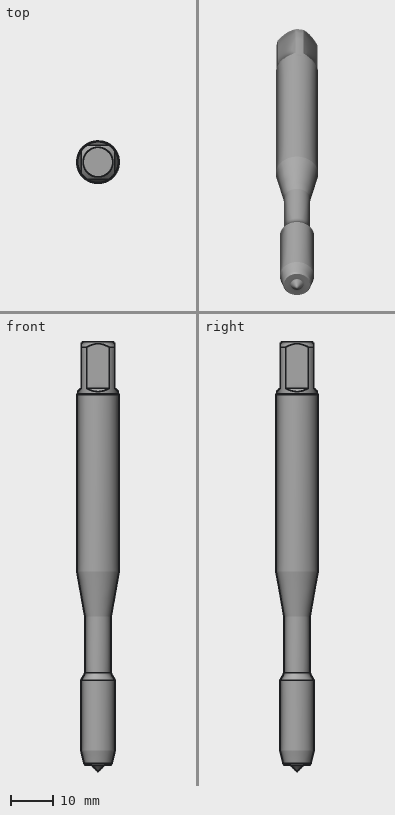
import cadquery as cq

overall_length = 100.0

shank_diameter = 10.0
shank_bottom = 45.7
shank_top = 87.5
neck_diameter = 6.23
taper_bottom = 35.1

drive_diameter = 9.6
drive_across_flats = 8.0
drive_length = 11.0
drive_tip_diameter = 7.0
drive_tip_chamfer = (drive_diameter - drive_tip_diameter) / 2
shank_chamfer = (shank_diameter - drive_diameter) / 2

thread_diameter = 8.12
thread_top = 20.0
core_diameter = 6.65
lead_bottom = 0.43
lead_top = 3.45
front_face_diameter = 6.1
shoulder_top = 21.25
neck_bottom = 21.85

point_height = 1.55
point_diameter = 2 * point_height


def turned(outline):
    """Revolve a closed outline of (radius, height) points about the Z axis."""
    return cq.Workplane("XZ").polyline(outline).close().revolve(360, (0, 0, 0), (0, 1, 0))


def flat_cutter(angle):
    """Prism outside one drive flat; its floor slopes down and outward at 45 degrees."""
    flat = drive_across_flats / 2
    reach = shank_diameter / 2
    floor = overall_length - drive_length
    outline = [
        (flat, floor),
        (reach, floor - (reach - flat)),
        (reach, overall_length),
        (flat, overall_length),
    ]
    prism = cq.Workplane("XZ").polyline(outline).close().extrude(reach, both=True)
    return prism.rotate((0, 0, 0), (0, 0, 1), angle)


def make_shank():
    """Neck, taper, cylindrical shank and square drive, turned as one piece."""
    shank = turned([
        (0, neck_bottom),
        (neck_diameter / 2, neck_bottom),
        (neck_diameter / 2, taper_bottom),
        (shank_diameter / 2, shank_bottom),
        (shank_diameter / 2, shank_top),
        (drive_diameter / 2, shank_top + shank_chamfer),
        (drive_diameter / 2, overall_length - drive_tip_chamfer),
        (drive_tip_diameter / 2, overall_length),
        (0, overall_length),
    ])
    flat_count = 4
    for flat_index in range(flat_count):
        shank = shank.cut(flat_cutter(flat_index * 360 / flat_count))
    return shank


def make_thread_section():
    """Thread cylinder with a stepped cone up to the neck, a tapered lead and a centre point."""
    return turned([
        (0, -point_height),
        (point_diameter / 2, 0),
        (front_face_diameter / 2, 0),
        (core_diameter / 2, lead_bottom),
        (thread_diameter / 2, lead_top),
        (thread_diameter / 2, thread_top),
        (core_diameter / 2, shoulder_top),
        (neck_diameter / 2, neck_bottom),
        (0, neck_bottom),
    ])


shank = make_shank()
thread_section = make_thread_section()

result = cq.Compound.makeCompound([shank.val(), thread_section.val()])